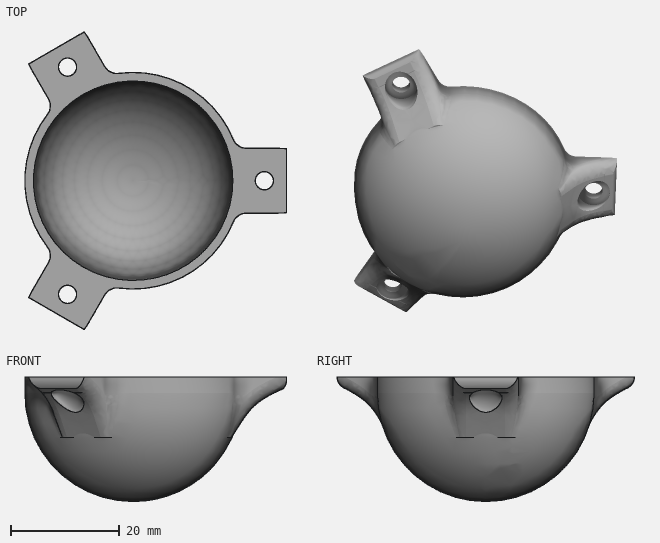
import cadquery as cq
import math

INNER_RADIUS = 18.4
WALL = 1.6
OUTER_RADIUS = INNER_RADIUS + WALL
RIM_HEIGHT = 3.0
CUP_DEPTH = RIM_HEIGHT + OUTER_RADIUS

EAR_COUNT = 3
EAR_REACH = 28.3
EAR_WIDTH = 12.0
HOLE_DIAMETER = 3.3
COUNTERBORE_DIAMETER = 6.0
COUNTERBORE_FLOOR = -2.0
HOLE_CENTRE_RADIUS = 24.2
CORNER_FILLET = 2.5
UNDERSIDE_FILLET = 2.4

TIP = (EAR_REACH, -1.9)
BEND = (22.7, -5.0)
FOOT = (18.1, -11.2)
TIP_SLOPE = 0.45
FOOT_SLOPE = 1.6
TIP_FACE_HEIGHT = 0.6
TIP_ROUND = 2.3

TOLERANCE = 0.01

HEADROOM = 6.0
OVERRUN = 4.0


def bowl(radius, top):
    """Solid hemisphere continued upward by a cylinder to the given height."""
    return (
        cq.Workplane("XZ")
        .moveTo(0, top)
        .lineTo(radius, top)
        .lineTo(radius, -RIM_HEIGHT)
        .radiusArc((0, -RIM_HEIGHT - radius), radius)
        .close()
        .revolve(360, (0, 0, 0), (0, 1, 0))
    )


def is_lower_side_edge(edge):
    """True for the long edges where the ear's underside meets its flat sides."""
    middle = edge.Center()
    on_side = abs(abs(middle.y) - EAR_WIDTH / 2) < TOLERANCE
    runs_outward = abs(edge.tangentAt(0.5).x) > TOLERANCE
    return on_side and runs_outward and middle.z < HEADROOM / 2


def ear_blank():
    """Overlong ear along +X with a swept underside and rounded lower edges."""
    outer = (TIP[0] + OVERRUN, TIP[1] + OVERRUN * TIP_SLOPE)
    inner = (FOOT[0] - OVERRUN, FOOT[1] - OVERRUN * FOOT_SLOPE)
    block = (
        cq.Workplane("XZ")
        .moveTo(inner[0], HEADROOM)
        .lineTo(*inner)
        .lineTo(*FOOT)
        .spline([BEND, TIP], tangents=[(1, FOOT_SLOPE), (1, TIP_SLOPE)], includeCurrent=True)
        .lineTo(*outer)
        .lineTo(outer[0], HEADROOM)
        .close()
        .extrude(EAR_WIDTH / 2, both=True)
        .val()
    )
    lower_edges = [edge for edge in block.Edges() if is_lower_side_edge(edge)]
    return cq.Workplane(block.fillet(UNDERSIDE_FILLET, lower_edges))


def ear():
    """Ear trimmed to length, with its end face rounded at the bottom."""
    round_end = (EAR_REACH - TIP_ROUND, -TIP_FACE_HEIGHT - TIP_ROUND)
    envelope = (
        cq.Workplane("XZ")
        .moveTo(0, HEADROOM)
        .lineTo(EAR_REACH, HEADROOM)
        .lineTo(EAR_REACH, -TIP_FACE_HEIGHT)
        .radiusArc(round_end, TIP_ROUND)
        .lineTo(round_end[0], -CUP_DEPTH)
        .lineTo(0, -CUP_DEPTH)
        .close()
        .extrude(EAR_WIDTH, both=True)
    )
    return ear_blank().intersect(envelope)


def is_ear_root_edge(edge):
    """True for the upright edges where an ear's sides leave the cup."""
    start = edge.startPoint()
    end = edge.endPoint()
    upright = edge.geomType() == "LINE" and abs(start.z - end.z) > RIM_HEIGHT
    on_cup = abs(math.hypot(start.x, start.y) - OUTER_RADIUS) < TOLERANCE
    return upright and on_cup


def below_feet():
    """Space around the cup below the level where the ears end."""
    slab = cq.Workplane("XY", origin=(0, 0, FOOT[1])).circle(EAR_REACH).extrude(-CUP_DEPTH)
    return slab.cut(bowl(OUTER_RADIUS, 0))


def outer_body():
    """Solid cup with its ears, blended at the roots and cut level at the rim."""
    body = bowl(OUTER_RADIUS, HEADROOM)
    for index in range(EAR_COUNT):
        angle = index * 360 / EAR_COUNT
        body = body.union(ear().rotate((0, 0, 0), (0, 0, 1), angle))
    solid = body.solids().val()
    root_edges = [edge for edge in solid.Edges() if is_ear_root_edge(edge)]
    blended = cq.Workplane(solid.fillet(CORNER_FILLET, root_edges))
    above_rim = cq.Workplane("XY").circle(EAR_REACH + EAR_WIDTH).extrude(HEADROOM + OVERRUN)
    return blended.cut(above_rim).cut(below_feet())


def ear_cylinders(diameter, top):
    """Upright cylinders on the screw axes, from the given height downward."""
    return (
        cq.Workplane("XY", origin=(0, 0, top))
        .polarArray(HOLE_CENTRE_RADIUS, 0, 360, EAR_COUNT)
        .circle(diameter / 2)
        .extrude(-CUP_DEPTH)
    )


cavity = bowl(INNER_RADIUS, HEADROOM)
screw_holes = ear_cylinders(HOLE_DIAMETER, 0)
counterbores = ear_cylinders(COUNTERBORE_DIAMETER, COUNTERBORE_FLOOR)
result = outer_body().cut(cavity).cut(screw_holes).cut(counterbores)